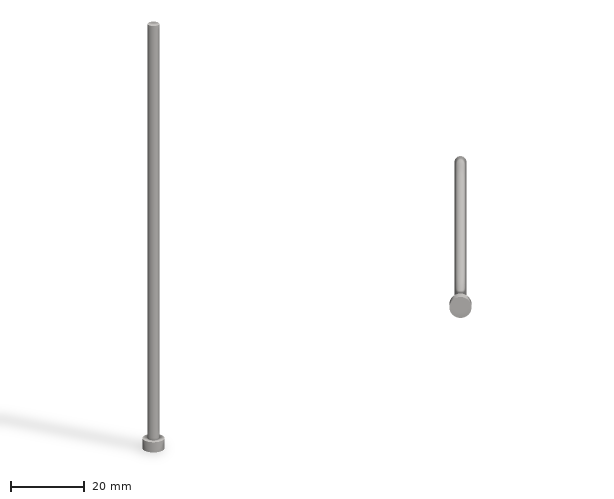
import cadquery as cq

total_length = 125.0
head_diameter = 6.0
head_height = 3.0
shaft_diameter = 3.2


def make_head():
    """Round head with its underside on Z = 0."""
    return cq.Workplane("XY").circle(head_diameter / 2).extrude(head_height)


def make_shaft():
    """Round shaft rising from the head to the full length."""
    shaft_length = total_length - head_height
    return (
        cq.Workplane("XY")
        .workplane(offset=head_height)
        .circle(shaft_diameter / 2)
        .extrude(shaft_length)
    )


result = make_head().union(make_shaft())